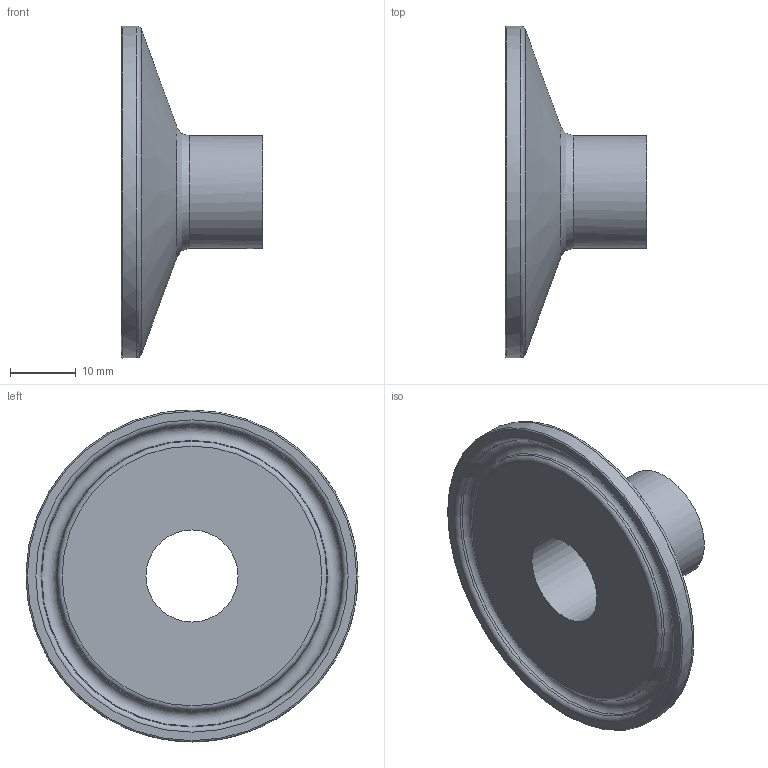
import cadquery as cq
import math

length = 21.5
flange_radius = 50.5 / 2
tube_radius = 17.2 / 2
bore_radius = 14.0 / 2
cone_angle = math.radians(20)
rim_width = 2.85
rim_back_fillet = 0.8
rim_front_fillet = 0.2
neck_fillet = 2.0

groove_radius = 43.5 / 2
groove_floor_radius = 1.2
groove_lip_radius = 0.8
groove_wall_angle = math.radians(70)
groove_depth = 1.65

axis_start = (0, 0, 0)
axis_end = (1, 0, 0)


def make_body():
    """Flange, cone and tube with sharp corners, as one ring around the bore."""
    cone_length = (flange_radius - tube_radius) * math.tan(cone_angle)
    profile = (
        cq.Workplane("XZ")
        .moveTo(0, bore_radius)
        .lineTo(0, flange_radius)
        .lineTo(rim_width, flange_radius)
        .lineTo(rim_width + cone_length, tube_radius)
        .lineTo(length, tube_radius)
        .lineTo(length, bore_radius)
        .close()
    )
    body = profile.revolve(360, axis_start, axis_end)
    body = fillet_circle(body, 0, flange_radius, rim_front_fillet)
    body = fillet_circle(body, rim_width, flange_radius, rim_back_fillet)
    return fillet_circle(body, rim_width + cone_length, tube_radius, neck_fillet)


def fillet_circle(body, x, radius, fillet_radius):
    """Round the circular edge of the given radius that lies at X = x."""
    tolerance = 0.01

    def is_wanted(edge):
        if edge.geomType() != "CIRCLE":
            return False
        same_plane = abs(edge.Center().x - x) < tolerance
        return same_plane and abs(edge.radius() - radius) < tolerance

    edges = [edge for edge in body.edges().vals() if is_wanted(edge)]
    return body.newObject(edges).fillet(fillet_radius)


def make_groove():
    """Ring of material that the gasket groove removes."""
    sine = math.sin(groove_wall_angle)
    cosine = math.cos(groove_wall_angle)
    half_angle_sine = math.sin(groove_wall_angle / 2)
    half_angle_cosine = math.cos(groove_wall_angle / 2)

    wall_top_x = groove_lip_radius * (1 - cosine)
    wall_bottom_x = groove_depth - groove_floor_radius * (1 - cosine)
    wall_bottom_half = groove_floor_radius * sine
    wall_top_half = wall_bottom_half + (wall_bottom_x - wall_top_x) * cosine / sine
    mouth_half = wall_top_half + groove_lip_radius * sine

    lip_middle_x = groove_lip_radius * (1 - half_angle_cosine)
    lip_middle_half = mouth_half - groove_lip_radius * half_angle_sine

    profile = (
        cq.Workplane("XZ")
        .moveTo(0, groove_radius + mouth_half)
        .threePointArc(
            (lip_middle_x, groove_radius + lip_middle_half),
            (wall_top_x, groove_radius + wall_top_half),
        )
        .lineTo(wall_bottom_x, groove_radius + wall_bottom_half)
        .threePointArc(
            (groove_depth, groove_radius),
            (wall_bottom_x, groove_radius - wall_bottom_half),
        )
        .lineTo(wall_top_x, groove_radius - wall_top_half)
        .threePointArc(
            (lip_middle_x, groove_radius - lip_middle_half),
            (0, groove_radius - mouth_half),
        )
        .close()
    )
    return profile.revolve(360, axis_start, axis_end)


result = make_body().cut(make_groove())